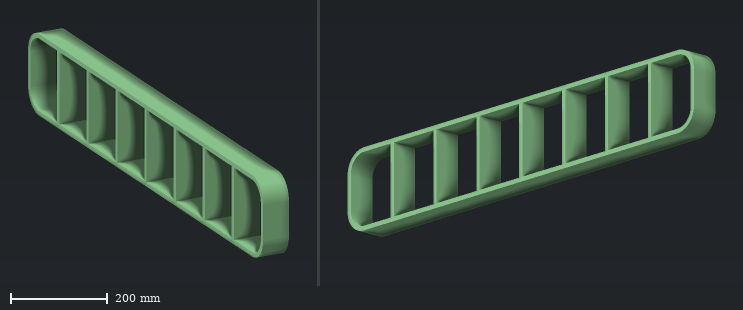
import cadquery as cq

length = 1054.0
depth = 60.0
height = 179.0
wall = 10.0
corner_radius = 50.0

bay_count = 8
divider_thickness = wall
inner_length = length - 2 * wall
inner_height = height - 2 * wall
bay_width = (inner_length - (bay_count - 1) * divider_thickness) / bay_count
divider_pitch = bay_width + divider_thickness


def rounded_bar(width, tall, radius):
    """Block centred on the origin with its Y-running edges rounded."""
    return cq.Workplane("XY").box(width, depth, tall).edges("|Y").fillet(radius)


outer = rounded_bar(length, height, corner_radius)
opening = rounded_bar(inner_length, inner_height, corner_radius - wall)
result = outer.cut(opening)

for index in range(1, bay_count):
    divider_x = (index - bay_count / 2) * divider_pitch
    divider = cq.Workplane("XY").box(divider_thickness, depth, height)
    result = result.union(divider.translate((divider_x, 0, 0)))